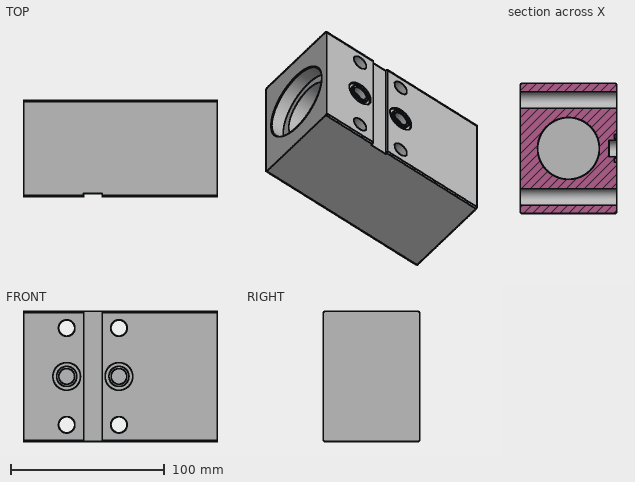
import cadquery as cq

length = 126.0
depth = 63.0
height = 85.0
edge_chamfer = 1.0
mid_y = depth / 2
mid_z = height / 2

bore_diameter = 40.1
bore_depth = 100.8
mouth_diameter = 51.7
mouth_depth = 10.0
mouth_chamfer = 0.5

slot_center_x = 45.0
slot_width = 12.0
slot_depth = 2.0

column_spacing = 34.0
column_positions = [slot_center_x + side * column_spacing / 2 for side in (-1, 1)]
bolt_diameter = 10.5
bolt_spacing = 63.0

port_diameter = 10.2
port_depth = 5.0
groove_outer_diameter = 18.0
groove_inner_diameter = 13.1
groove_depth = 1.4


def make_block():
    block = cq.Workplane("XY").box(length, depth, height, centered=False)
    return block.edges("|X").chamfer(edge_chamfer)


def make_bore():
    mouth_radius = mouth_diameter / 2
    flare_radius = mouth_radius + mouth_chamfer
    profile = (
        cq.Workplane("XY")
        .moveTo(0, 0)
        .lineTo(0, flare_radius)
        .lineTo(mouth_chamfer, mouth_radius)
        .lineTo(mouth_depth, mouth_radius)
        .lineTo(mouth_depth, bore_diameter / 2)
        .lineTo(bore_depth, bore_diameter / 2)
        .lineTo(bore_depth, 0)
        .close()
    )
    return profile.revolve(360, (0, 0), (1, 0)).translate((0, mid_y, mid_z))


def make_slot():
    slot = cq.Workplane("XY").box(slot_width, slot_depth, height, centered=False)
    return slot.translate((slot_center_x - slot_width / 2, 0, 0))


def make_bolt_hole(x, z):
    return cq.Workplane("XZ", origin=(x, 0, z)).circle(bolt_diameter / 2).extrude(-depth)


def make_port(x):
    face = cq.Workplane("XZ", origin=(x, 0, mid_z))
    hole = face.circle(port_diameter / 2).extrude(-port_depth)
    groove = (
        face.circle(groove_outer_diameter / 2)
        .circle(groove_inner_diameter / 2)
        .extrude(-groove_depth)
    )
    return hole.add(groove).combine()


result = make_block().cut(make_bore()).cut(make_slot())
for column_x in column_positions:
    result = result.cut(make_port(column_x))
    for side in (-1, 1):
        result = result.cut(make_bolt_hole(column_x, mid_z + side * bolt_spacing / 2))